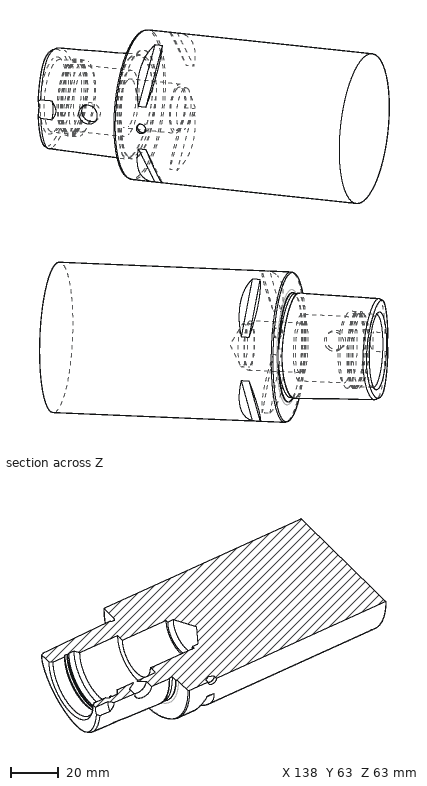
import cadquery as cq
import math


overall_length = 138.0
shank_length = 38.0
body_length = overall_length - shank_length
body_diameter = 63.0
body_radius = body_diameter / 2
body_edge_chamfer_length = 0.7
body_edge_chamfer_depth = 0.3

lobe_height = 1.4
shank_base_radius = 22.1
taper_ratio = 1 / 40
tip_chamfer_length = 1.4
tip_chamfer_depth = 0.7
neck_length = 2.1
neck_radius = 22.9
neck_section_drop = 0.3
collar_radius = 24.2
collar_width = 0.5
collar_flare_width = 0.3
profile_points = 72

mouth_radius = 16.3
mouth_chamfer_depth = 1.0
mouth_chamfer_length = 1.4
entry_radius = mouth_radius - mouth_chamfer_depth
entry_depth = 7.2
groove_radius = 16.1
groove_flare_length = 0.8
groove_width = 5.4
rib_radius = 15.6
rib_start = 1.8
rib_width = 0.7
groove_cone_length = 1.4
bore_radius = 14.0
bore_depth = 33.1
thread_radius = 10.4
thread_depth = 55.2
drill_radius = 9.1
drill_depth = 58.0

drill_half_angle = math.radians(59)
shank_hole_radius = 4.1
shank_hole_x = -15.3
shank_hole_depth = 3.9
body_hole_radius = 2.1
body_hole_depth = 1.7

key_radius = 6.2
key_floor_y = -18.1
key_length = 6.3

notch_x = 12.1
notch_count = 4
notch_floor_distance = 27.9
notch_floor_width = 3.3
notch_flank_angle = math.radians(31)


def polygon_wire(mean_radius, x):
    """Closed three-lobed curve of constant width at the given X, one lobe toward +Y."""

    def point(t):
        angle = 2 * math.pi * t
        y = mean_radius * math.cos(angle) + lobe_height * (2 * math.cos(2 * angle) - math.cos(4 * angle))
        z = mean_radius * math.sin(angle) - lobe_height * (2 * math.sin(2 * angle) + math.sin(4 * angle))
        return cq.Vector(x, y, z)

    points = [point(i / profile_points) for i in range(profile_points)]
    return cq.Wire.assembleEdges([cq.Edge.makeSpline(points, periodic=True)])


def polygon_frustum(start_x, start_radius, end_x, end_radius):
    wires = [polygon_wire(start_radius, start_x), polygon_wire(end_radius, end_x)]
    return cq.Workplane(cq.Solid.makeLoft(wires, True))


def revolved(points):
    """Solid of revolution about the X axis from (x, radius) points."""
    return cq.Workplane("XY").polyline(points).close().revolve(360, (0, 0, 0), (1, 0, 0))


def body():
    return revolved([
        (0, 0),
        (0, body_radius - body_edge_chamfer_depth),
        (body_edge_chamfer_length, body_radius),
        (body_length, body_radius),
        (body_length, 0),
    ])


def shank():
    taper_start = -neck_length
    taper_end = -shank_length + tip_chamfer_length
    tip_radius = shank_base_radius - taper_ratio * (taper_start - taper_end)
    taper = polygon_frustum(taper_end, tip_radius, taper_start, shank_base_radius)
    tip = polygon_frustum(-shank_length, tip_radius - tip_chamfer_depth, taper_end, tip_radius)
    neck_section = shank_base_radius - neck_section_drop
    neck = polygon_frustum(taper_start, neck_section, 0, neck_section)
    neck_limit = cq.Workplane("YZ").circle(neck_radius).extrude(-neck_length)
    collar = revolved([
        (-collar_width, 0),
        (-collar_width, neck_radius),
        (-collar_flare_width, neck_radius),
        (0, collar_radius),
        (0, 0),
    ])
    return taper.union(tip).union(neck.intersect(neck_limit)).union(collar)


def bore():
    """Chamfered entry, a groove split by a low rib, the main bore, then the threaded hole and drill cone."""
    tip_x = -shank_length
    groove_x = tip_x + entry_depth
    groove_end_x = groove_x + groove_width
    rib_x = groove_x + rib_start
    thread_end_x = tip_x + thread_depth
    drill_end_x = tip_x + drill_depth
    return revolved([
        (tip_x, 0),
        (tip_x, mouth_radius),
        (tip_x + mouth_chamfer_length, entry_radius),
        (groove_x, entry_radius),
        (groove_x + groove_flare_length, groove_radius),
        (rib_x, groove_radius),
        (rib_x, rib_radius),
        (rib_x + rib_width, rib_radius),
        (rib_x + rib_width, groove_radius),
        (groove_end_x, groove_radius),
        (groove_end_x + groove_cone_length, bore_radius),
        (tip_x + bore_depth, bore_radius),
        (tip_x + bore_depth, thread_radius),
        (thread_end_x, thread_radius),
        (thread_end_x, drill_radius),
        (drill_end_x, drill_radius),
        (drill_end_x + drill_radius / math.tan(drill_half_angle), 0),
    ])


def radial_hole(x, surface_radius, radius, depth):
    """Blind drilled hole entering from -Y, with a conical bottom."""
    floor_y = depth - surface_radius
    profile = [
        (x, -body_radius),
        (x + radius, -body_radius),
        (x + radius, floor_y),
        (x, floor_y + radius / math.tan(drill_half_angle)),
    ]
    return cq.Workplane("XY").polyline(profile).close().revolve(360, (x, 0, 0), (x, 1, 0))


def key_groove():
    """Shallow round-bottomed groove with a 45 degree conical end."""
    end_x = -shank_length + key_length
    cutter = revolved([
        (-shank_length, 0),
        (-shank_length, key_radius),
        (end_x, key_radius),
        (end_x + key_radius, 0),
    ])
    return cutter.translate((0, key_floor_y - key_radius, 0))


def notch(angle):
    """Straight flat-bottomed notch across the body with sloped flanks."""
    depth = body_radius - notch_floor_distance
    half_floor = notch_floor_width / 2
    half_top = half_floor + depth * math.tan(notch_flank_angle)
    profile = [
        (notch_x - half_floor, notch_floor_distance),
        (notch_x - half_top, body_radius),
        (notch_x + half_top, body_radius),
        (notch_x + half_floor, notch_floor_distance),
    ]
    cutter = cq.Workplane("XY").polyline(profile).close().extrude(body_radius, both=True)
    return cutter.rotate((0, 0, 0), (1, 0, 0), angle)


shank_flat_radius = shank_base_radius - lobe_height - taper_ratio * (-shank_hole_x - neck_length)

result = body().union(shank()).cut(bore()).cut(key_groove())
result = result.cut(radial_hole(shank_hole_x, shank_flat_radius, shank_hole_radius, shank_hole_depth))
result = result.cut(radial_hole(notch_x, body_radius, body_hole_radius, body_hole_depth))
for i in range(notch_count):
    result = result.cut(notch((i + 0.5) * 360 / notch_count))